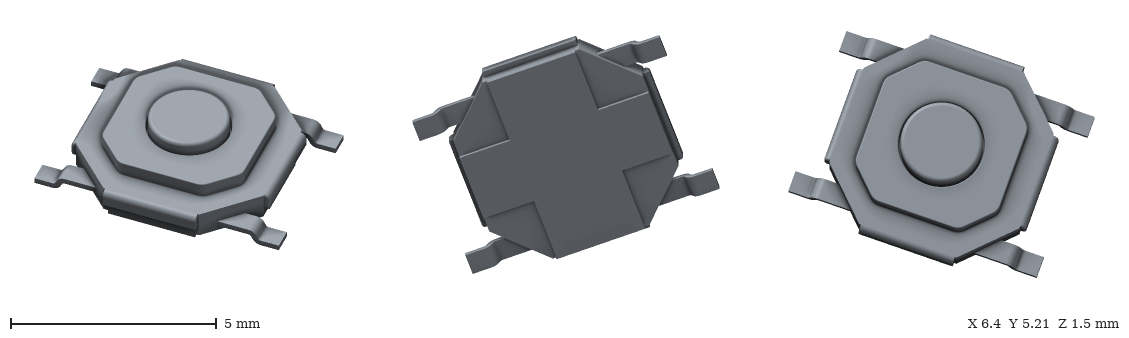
import cadquery as cq
import math

body_width = 4.9
body_corner = 1.2
body_top = 0.8
notch_height = 0.11
notch_inner_x = 1.14
notch_inner_y = 0.84

flap_length = 2.42
flap_depth = 0.155
flap_bottom = 0.4
flap_round = 0.06

plate_width = 3.7
plate_corner = 0.75
plate_corner_radius = 0.35
plate_top = 1.2
plate_edge_radius = 0.03

button_diameter = 2.0
button_hole_diameter = 2.1
button_top = 1.5
button_edge_radius = 0.1

lead_span = 6.4
lead_width = 0.52
lead_center_y = 1.85
lead_thickness = 0.15
lead_top = 0.4
lead_inner_x = 1.0
bend_start_x = 2.41
bend_end_x = 2.725
upper_bend_radius = 0.07
lower_bend_radius = 0.08

half_body = body_width / 2


def octagon_prism(width, corner, bottom, top):
    """Square prism with its four vertical edges cut at 45 degrees."""
    prism = cq.Workplane("XY").workplane(offset=bottom).rect(width, width).extrude(top - bottom)
    return prism.edges("|Z").chamfer(corner)


def make_body():
    body = octagon_prism(body_width, body_corner, 0, body_top)
    notch_x = half_body - notch_inner_x
    notch_y = half_body - notch_inner_y
    notches = (
        cq.Workplane("XY")
        .rect(half_body + notch_inner_x, half_body + notch_inner_y, forConstruction=True)
        .vertices()
        .rect(notch_x, notch_y)
        .extrude(notch_height)
    )
    return body.cut(notches)


def make_flap():
    """Flap on the +X side, rounded along its outer top edge; its inner half lies in the body."""
    height = body_top - flap_bottom
    flap = (
        cq.Workplane("XY")
        .box(2 * flap_depth, flap_length, height, centered=(True, True, False))
        .translate((half_body, 0, flap_bottom))
    )
    return flap.edges(">X and >Z").fillet(flap_depth)


def make_rounded_flap():
    """Flap on the +X side with its side and bottom edges rounded as well."""
    return make_flap().faces(">X").edges("not >Z").fillet(flap_round)


def add_flaps(body):
    rounded_flap = make_rounded_flap()
    plain_flap = make_flap()
    for angle in (0, 180):
        body = body.union(rounded_flap.rotate((0, 0, 0), (0, 0, 1), angle))
        body = body.union(plain_flap.rotate((0, 0, 0), (0, 0, 1), angle + 90))
    return body


def add_plate(body):
    plate = octagon_prism(plate_width, plate_corner, body_top, plate_top)
    plate = plate.edges("|Z").fillet(plate_corner_radius)
    hole = (
        cq.Workplane("XY")
        .workplane(offset=body_top)
        .circle(button_hole_diameter / 2)
        .extrude(plate_top - body_top)
    )
    part = body.union(plate).cut(hole)
    part = part.faces(">Z").edges().fillet(plate_edge_radius)

    reach = plate_width / 2 + plate_edge_radius
    around_foot = cq.selectors.BoxSelector(
        (-reach, -reach, body_top - plate_edge_radius),
        (reach, reach, body_top + plate_edge_radius),
        boundingbox=True,
    )
    hole_edge = cq.selectors.RadiusNthSelector(-1)
    return part.edges(around_foot - hole_edge).fillet(plate_edge_radius)


def make_button():
    button = cq.Workplane("XY").circle(button_diameter / 2).extrude(button_top)
    return button.faces(">Z").edges().fillet(button_edge_radius)


def make_lead():
    """Lead in the +X, +Y corner: two bends and a short straight slope join its upper level to its foot."""
    upper_outer_radius = upper_bend_radius + lead_thickness
    lower_outer_radius = lower_bend_radius + lead_thickness

    run = bend_end_x - bend_start_x
    drop = lead_top - lead_thickness
    radius_sum = upper_outer_radius + lower_bend_radius
    center_rise = radius_sum - drop
    slope_length = math.sqrt(run**2 + center_rise**2 - radius_sum**2)
    bend_angle = math.atan2(run, center_rise) - math.atan2(slope_length, radius_sum)
    half_angle = bend_angle / 2

    upper_center_z = lead_top - upper_outer_radius
    lower_center_z = lower_outer_radius

    def upper_point(radius, angle):
        return (bend_start_x + radius * math.sin(angle), upper_center_z + radius * math.cos(angle))

    def lower_point(radius, angle):
        return (bend_end_x - radius * math.sin(angle), lower_center_z - radius * math.cos(angle))

    profile = (
        cq.Workplane("XZ")
        .moveTo(lead_inner_x, lead_top)
        .lineTo(bend_start_x, lead_top)
        .threePointArc(
            upper_point(upper_outer_radius, half_angle),
            upper_point(upper_outer_radius, bend_angle),
        )
        .lineTo(*lower_point(lower_bend_radius, bend_angle))
        .threePointArc(
            lower_point(lower_bend_radius, half_angle),
            lower_point(lower_bend_radius, 0),
        )
        .lineTo(lead_span / 2, lead_thickness)
        .lineTo(lead_span / 2, 0)
        .lineTo(bend_end_x, 0)
        .threePointArc(
            lower_point(lower_outer_radius, half_angle),
            lower_point(lower_outer_radius, bend_angle),
        )
        .lineTo(*upper_point(upper_bend_radius, bend_angle))
        .threePointArc(
            upper_point(upper_bend_radius, half_angle),
            upper_point(upper_bend_radius, 0),
        )
        .lineTo(lead_inner_x, lead_top - lead_thickness)
        .close()
    )
    return profile.extrude(lead_width / 2, both=True).translate((0, lead_center_y, 0))


def add_leads(part):
    lead = make_lead()
    opposite_lead = lead.mirror("XZ")
    for angle in (0, 180):
        part = part.union(lead.rotate((0, 0, 0), (0, 0, 1), angle))
        part = part.union(opposite_lead.rotate((0, 0, 0), (0, 0, 1), angle))
    return part


result = add_leads(add_plate(add_flaps(make_body())).union(make_button()))